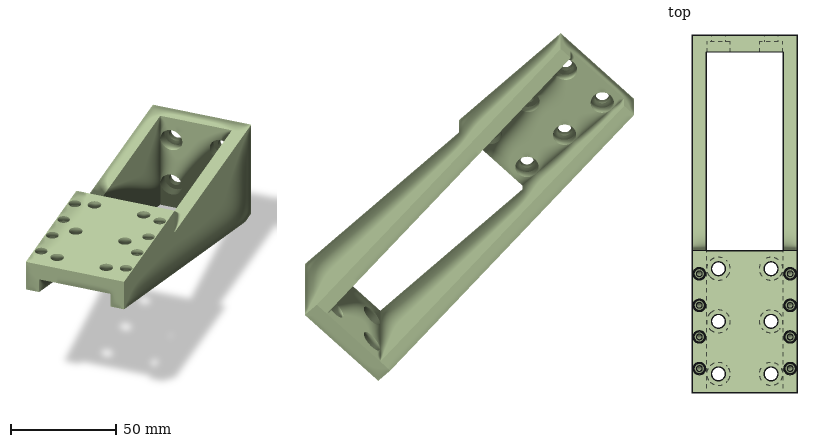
import cadquery as cq

length = 170.0
width = 50.0
height = 62.0

rear_height = 50.0
block_length = 67.7
nose_height = 15.5
heel_length = 8.0

wall = 6.8
plate_thickness = 8.3
rear_wall = 8.0

bolt_dia = 6.5
bolt_pitch = 25.0
plate_bolt_first_y = 9.0
plate_bolt_rows = 3
rear_bolt_low_z = 12.5
rear_bolt_rows = 2
counterbore_dia = 11.0
counterbore_depth = 5.1

screw_rows = 4
screw_span = 45.0
screw_pitch = screw_span / (screw_rows - 1)
screw_first_y = 11.5
screw_mouth_dia = 6.0
screw_mouth_depth = 2.5
screw_dia = 5.0
screw_depth = 2.7
centre_mark_dia = 2.7
centre_mark_depth = 1.4
screw_x = (width - wall) / 2


def side_profile_body():
    """Solid wedge with its raised block, extruded across the width."""
    return (
        cq.Workplane("YZ")
        .moveTo(0, height)
        .lineTo(block_length, height)
        .lineTo(block_length, rear_height)
        .lineTo(length, rear_height)
        .lineTo(length, 0)
        .lineTo(length - heel_length, 0)
        .lineTo(0, height - nose_height)
        .close()
        .extrude(width / 2, both=True)
    )


def inner_channel():
    """Channel under the plate that opens upward between the plate and the rear wall."""
    inner_width = width - 2 * wall
    rear_face = length - rear_wall
    under_plate = cq.Workplane("XY").box(
        inner_width, rear_face, height - plate_thickness, centered=(True, False, False)
    )
    window = (
        cq.Workplane("XY")
        .box(inner_width, rear_face - block_length, height, centered=(True, False, False))
        .translate((0, block_length, 0))
    )
    return under_plate.union(window)


def plate_bolt_holes():
    """Plate holes, counterbored from the channel side."""
    points = [
        (side * bolt_pitch / 2, plate_bolt_first_y + row * bolt_pitch)
        for side in (-1, 1)
        for row in range(plate_bolt_rows)
    ]
    underside = cq.Workplane("XY", origin=(0, 0, height - plate_thickness)).pushPoints(points)
    through = underside.circle(bolt_dia / 2).extrude(plate_thickness)
    counterbores = underside.circle(counterbore_dia / 2).extrude(counterbore_depth)
    return through.union(counterbores)


def rear_bolt_holes():
    """Rear wall holes, counterbored from inside the channel."""
    points = [
        (side * bolt_pitch / 2, rear_bolt_low_z + row * bolt_pitch)
        for side in (-1, 1)
        for row in range(rear_bolt_rows)
    ]
    inner_face = cq.Workplane("XZ", origin=(0, length - rear_wall, 0)).pushPoints(points)
    through = inner_face.circle(bolt_dia / 2).extrude(-rear_wall)
    counterbores = inner_face.circle(counterbore_dia / 2).extrude(-counterbore_depth)
    return through.union(counterbores)


def screw_holes():
    """Stepped blind holes, each with a conical centre mark in its floor."""
    points = [
        (side * screw_x, screw_first_y + row * screw_pitch)
        for side in (-1, 1)
        for row in range(screw_rows)
    ]
    profile = (
        cq.Workplane("XZ")
        .lineTo(screw_mouth_dia / 2, 0)
        .lineTo(screw_mouth_dia / 2, -screw_mouth_depth)
        .lineTo(screw_dia / 2, -screw_mouth_depth)
        .lineTo(screw_dia / 2, -screw_depth)
        .lineTo(centre_mark_dia / 2, -screw_depth)
        .lineTo(0, -screw_depth - centre_mark_depth)
        .close()
    )
    cutter = profile.revolve(360, (0, 0, 0), (0, 1, 0)).val()
    holes = cq.Workplane("XY")
    for x, y in points:
        holes = holes.add(cutter.translate(cq.Vector(x, y, height)))
    return holes.combine()


result = (
    side_profile_body()
    .cut(inner_channel())
    .cut(plate_bolt_holes())
    .cut(rear_bolt_holes())
    .cut(screw_holes())
)